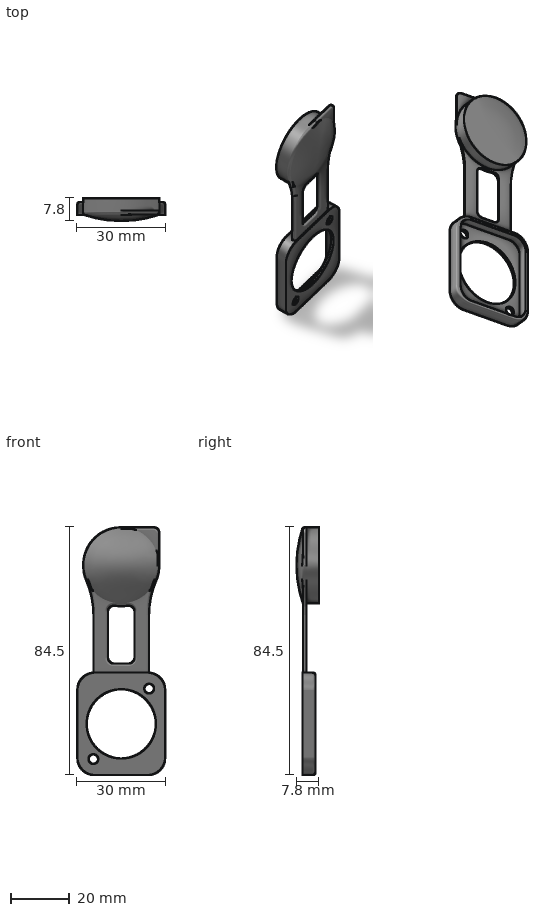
import cadquery as cq
import math

FRAME_WIDTH = 30.0
FRAME_HEIGHT = 35.0
FRAME_DEPTH = 4.5
FRAME_CORNER_RADIUS = 6.0
FRAME_BACK_ROUND = 1.0
FRAME_WALL = 1.5
FRAME_FACE_THICKNESS = 1.0
FRAME_BORE_DIAMETER = 23.5
SCREW_HOLE_DIAMETER = 3.2
SCREW_HOLE_X = 9.5
SCREW_HOLE_Z = 12.0
FRAME_TOP = FRAME_HEIGHT / 2

CAP_RADIUS = 13.0
CAP_CENTRE_Z = 54.0
CAP_BACK = 5.75
CAP_TOP = CAP_CENTRE_Z + CAP_RADIUS
DOME_PEAK = -2.05

PLATE_FRONT = 0.2
PLATE_BACK = 1.5
PLATE_EDGE_ROUND = 1.0
STRAP_HALF_WIDTH = 9.5
STRAP_FLARE_RADIUS = 30.0
TAB_CORNER_RADIUS = 2.0
FRAME_OVERLAP = 1.0

WINDOW_HALF_WIDTH = 4.5
WINDOW_BOTTOM = 20.6
WINDOW_TOP_RADIUS = CAP_RADIUS + PLATE_EDGE_ROUND
WINDOW_CORNER_RADIUS = 2.0


def front_plane(y):
    """Sketch plane at depth y: local x is X, local y is Z, extrusion runs toward -Y."""
    return cq.Workplane("XZ", origin=(0, y, 0))


def make_frame():
    frame = (
        front_plane(FRAME_DEPTH)
        .rect(FRAME_WIDTH, FRAME_HEIGHT)
        .extrude(FRAME_DEPTH)
        .edges("|Y")
        .fillet(FRAME_CORNER_RADIUS)
        .faces(">Y")
        .edges()
        .fillet(FRAME_BACK_ROUND)
    )
    bore = front_plane(FRAME_DEPTH).circle(FRAME_BORE_DIAMETER / 2).extrude(FRAME_DEPTH)
    screw_holes = (
        front_plane(FRAME_DEPTH)
        .pushPoints([(SCREW_HOLE_X, SCREW_HOLE_Z), (-SCREW_HOLE_X, -SCREW_HOLE_Z)])
        .circle(SCREW_HOLE_DIAMETER / 2)
        .extrude(FRAME_DEPTH)
    )
    cavity = (
        front_plane(FRAME_DEPTH)
        .rect(FRAME_WIDTH - 2 * FRAME_WALL, FRAME_HEIGHT - 2 * FRAME_WALL)
        .extrude(FRAME_DEPTH - FRAME_FACE_THICKNESS)
        .edges("|Y")
        .fillet(FRAME_CORNER_RADIUS - FRAME_WALL)
    )
    return frame.cut(cavity).cut(bore).cut(screw_holes)


def make_window():
    depth = PLATE_BACK - PLATE_FRONT
    corner_z = CAP_CENTRE_Z - math.sqrt(WINDOW_TOP_RADIUS**2 - WINDOW_HALF_WIDTH**2)
    return (
        front_plane(PLATE_BACK)
        .moveTo(-WINDOW_HALF_WIDTH, WINDOW_BOTTOM)
        .lineTo(WINDOW_HALF_WIDTH, WINDOW_BOTTOM)
        .lineTo(WINDOW_HALF_WIDTH, corner_z)
        .threePointArc((0, CAP_CENTRE_Z - WINDOW_TOP_RADIUS), (-WINDOW_HALF_WIDTH, corner_z))
        .close()
        .extrude(depth)
        .edges("|Y")
        .fillet(WINDOW_CORNER_RADIUS)
    )


def plate_outline():
    """Closed outline of strap, flares, cap circle and finger tab."""
    flare_x = STRAP_HALF_WIDTH + STRAP_FLARE_RADIUS
    centre_distance = CAP_RADIUS + STRAP_FLARE_RADIUS
    flare_drop = math.sqrt(centre_distance**2 - flare_x**2)
    flare_z = CAP_CENTRE_Z - flare_drop
    tangent_x = CAP_RADIUS * flare_x / centre_distance
    tangent_z = CAP_CENTRE_Z - CAP_RADIUS * flare_drop / centre_distance

    mid_angle = math.atan2(flare_drop, flare_x) / 2
    flare_mid_x = flare_x - STRAP_FLARE_RADIUS * math.cos(mid_angle)
    flare_mid_z = flare_z + STRAP_FLARE_RADIUS * math.sin(mid_angle)
    cap_mid_x = CAP_RADIUS * math.cos(mid_angle)
    cap_mid_z = CAP_CENTRE_Z - CAP_RADIUS * math.sin(mid_angle)
    strap_bottom = FRAME_TOP - FRAME_OVERLAP

    return (
        front_plane(PLATE_BACK)
        .moveTo(-STRAP_HALF_WIDTH, strap_bottom)
        .lineTo(STRAP_HALF_WIDTH, strap_bottom)
        .lineTo(STRAP_HALF_WIDTH, flare_z)
        .threePointArc((flare_mid_x, flare_mid_z), (tangent_x, tangent_z))
        .threePointArc((cap_mid_x, cap_mid_z), (CAP_RADIUS, CAP_CENTRE_Z))
        .lineTo(CAP_RADIUS, CAP_TOP - TAB_CORNER_RADIUS)
        .radiusArc((CAP_RADIUS - TAB_CORNER_RADIUS, CAP_TOP), -TAB_CORNER_RADIUS)
        .lineTo(0, CAP_TOP)
        .threePointArc((-CAP_RADIUS, CAP_CENTRE_Z), (-tangent_x, tangent_z))
        .threePointArc((-flare_mid_x, flare_mid_z), (-STRAP_HALF_WIDTH, flare_z))
        .close()
    )


def make_plate():
    plate = plate_outline().extrude(PLATE_BACK - PLATE_FRONT)
    return plate.cut(make_window()).faces("<Y").edges().fillet(PLATE_EDGE_ROUND)


def make_cap():
    """Domed disc with a rounded rim; the dome stays sharp where it runs out onto strap and tab."""
    rise = PLATE_FRONT - DOME_PEAK
    sphere_radius = (CAP_RADIUS**2 + rise**2) / (2 * rise)
    sharp_cap = (
        cq.Workplane("XY")
        .moveTo(0, CAP_BACK)
        .lineTo(CAP_RADIUS, CAP_BACK)
        .lineTo(CAP_RADIUS, PLATE_FRONT)
        .radiusArc((0, DOME_PEAK), sphere_radius)
        .close()
        .revolve(360, (0, 0, 0), (0, 1, 0))
        .translate((0, 0, CAP_CENTRE_Z))
    )
    rim = cq.selectors.NearestToPointSelector((0, PLATE_FRONT, CAP_CENTRE_Z))
    rounded_cap = sharp_cap.edges("%CIRCLE").edges(rim).fillet(PLATE_EDGE_ROUND)

    round_centre_radius = CAP_RADIUS - PLATE_EDGE_ROUND
    tangent_radius = round_centre_radius * sphere_radius / (sphere_radius - PLATE_EDGE_ROUND)
    trim = plate_outline().offset2D(tangent_radius - CAP_RADIUS).extrude(PLATE_BACK - DOME_PEAK)
    return rounded_cap.union(sharp_cap.intersect(trim))


result = make_frame().union(make_plate()).union(make_cap())